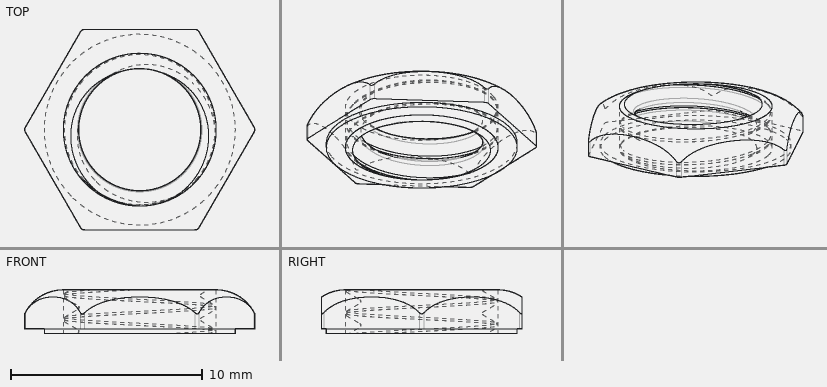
import cadquery as cq
import math

nut_height = 2.3
across_flats = 10.5
hexagon_sides = 6
corner_radius = 0.25
collar_diameter = 10.0
collar_height = 0.25
bore_diameter = 8.0
bore_radius = bore_diameter / 2
crown_radius = 2.25

pitch = 1.25
half_flank_angle = math.radians(60.0 / 2)
sharp_depth = pitch / 2 / math.tan(half_flank_angle)
ridge_depth = 3 / 4 * sharp_depth
crest_radius = bore_radius - ridge_depth
crest_width = pitch / 8
root_round = 0.13
crest_top_angle = 90.0
spare_turns = 2


def make_nut():
    """Hexagon with a domed top and a round collar below, bored through."""
    across_corners = across_flats / math.cos(math.pi / hexagon_sides)
    hexagon = (
        cq.Workplane("XY")
        .workplane(offset=collar_height)
        .polygon(hexagon_sides, across_corners)
        .extrude(nut_height - collar_height)
        .edges("|Z")
        .fillet(corner_radius)
    )
    crown_outer_radius = bore_radius + crown_radius
    crown = (
        cq.Workplane("XZ")
        .lineTo(crown_outer_radius, 0)
        .lineTo(crown_outer_radius, nut_height - crown_radius)
        .radiusArc((bore_radius, nut_height), -crown_radius)
        .lineTo(0, nut_height)
        .close()
        .revolve(360, (0, 0, 0), (0, 1, 0))
    )
    collar = cq.Workplane("XY").circle(collar_diameter / 2).extrude(collar_height)
    bore = cq.Workplane("XY").circle(bore_radius).extrude(nut_height)
    return hexagon.intersect(crown).union(collar).cut(bore)


def make_thread():
    """Helical ridge standing on the bore wall, trimmed flush with both ends of the nut."""
    slope = math.tan(half_flank_angle)
    tangent_depth = 1 - math.sin(half_flank_angle)
    crest_round = crest_width / 2 / math.tan((math.pi / 2 - half_flank_angle) / 2)
    crest_tangent_radius = crest_radius + crest_round * tangent_depth
    crest_tangent_height = crest_round * math.cos(half_flank_angle)
    root_tangent_radius = bore_radius - root_round * tangent_depth
    root_tangent_height = crest_tangent_height + (root_tangent_radius - crest_tangent_radius) * slope
    half_base = root_tangent_height + root_round * math.cos(half_flank_angle)
    section = (
        cq.Workplane("XZ")
        .moveTo(crest_tangent_radius, -crest_tangent_height)
        .threePointArc((crest_radius, 0), (crest_tangent_radius, crest_tangent_height))
        .lineTo(root_tangent_radius, root_tangent_height)
        .tangentArcPoint((bore_radius, half_base), relative=False)
        .lineTo(bore_radius, -half_base)
        .radiusArc((root_tangent_radius, -root_tangent_height), root_round)
        .close()
    )
    turns = math.ceil(nut_height / pitch) + spare_turns
    start_height = nut_height - (turns - 1) * pitch
    helix = cq.Wire.makeHelix(pitch, turns * pitch, crest_radius)
    ridge = (
        section.sweep(cq.Workplane(obj=helix), isFrenet=True)
        .rotate((0, 0, 0), (0, 0, 1), crest_top_angle)
        .translate((0, 0, start_height))
    )
    envelope = cq.Workplane("XY").rect(across_flats, across_flats).extrude(nut_height)
    return envelope.intersect(ridge)


nut = make_nut()
thread = make_thread()
result = cq.Compound.makeCompound([nut.val(), *thread.solids().vals()])